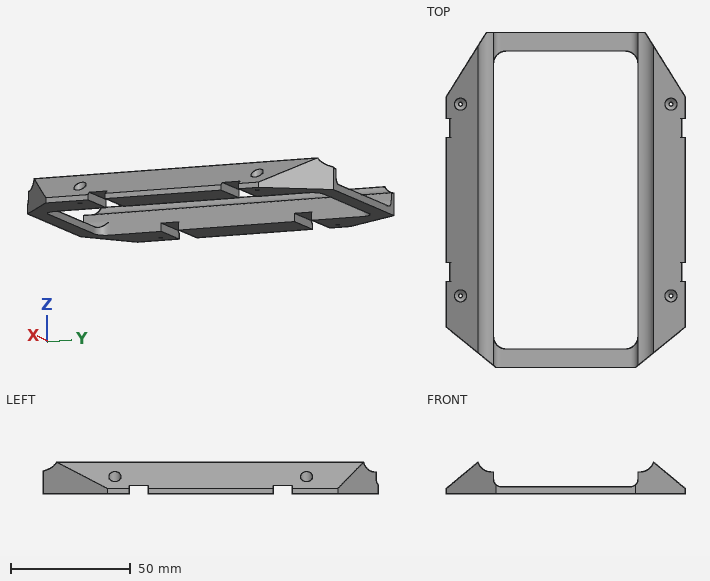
import cadquery as cq
import math

width = 100.0
length = 140.0
height = 13.3
half_width = width / 2
half_length = length / 2

outer_edge_height = 2.2
peak_offset = 13.3
groove_end_offset = 18.9
ledge_offset = 19.9
ledge_height = 9.2
bar_height = 3.1
rail_fillet = 3.0

back_cut_x = 16.8
back_cut_y = 26.9
front_cut_x = 20.9
front_cut_y = 17.0

end_bar_width = 7.8
opening_corner_radius = 5.0

slot_center_y = 30.1
slot_width = 7.8
slot_height = 3.5

hole_offset = 6.0
hole_y = 40.0
hole_diameter = 1.5
head_diameter = 5.0
head_seat_height = 2.5
cone_height = (head_diameter - hole_diameter) / 2


def make_profile():
    """Full-width cross-section extruded along Y."""
    peak_x = half_width - peak_offset
    groove_x = half_width - groove_end_offset
    wall_x = half_width - ledge_offset
    fillet_x = wall_x - rail_fillet

    rise = height - ledge_height
    run = peak_x - groove_x
    groove_radius = (run**2 + rise**2) / (2 * rise)
    half_sweep = math.atan2(rise, run)
    groove_mid_x = groove_x + groove_radius * math.sin(half_sweep)
    groove_mid_z = ledge_height + groove_radius * (1 - math.cos(half_sweep))

    fillet_top_z = bar_height + rail_fillet
    fillet_mid_x = fillet_x + rail_fillet * math.sqrt(0.5)
    fillet_mid_z = fillet_top_z - rail_fillet * math.sqrt(0.5)

    half_profile = (
        cq.Workplane("XZ", origin=(0, half_length, 0))
        .lineTo(half_width, 0)
        .lineTo(half_width, outer_edge_height)
        .lineTo(peak_x, height)
        .threePointArc((groove_mid_x, groove_mid_z), (groove_x, ledge_height))
        .lineTo(wall_x, ledge_height)
        .lineTo(wall_x, fillet_top_z)
        .threePointArc((fillet_mid_x, fillet_mid_z), (fillet_x, bar_height))
        .lineTo(0, bar_height)
        .close()
        .extrude(length)
    )
    return half_profile.union(half_profile.mirror("YZ"))


def make_outline():
    """Octagonal plan shape used to trim the corners."""
    right_side = [
        (half_width - front_cut_x, -half_length),
        (half_width, -half_length + front_cut_y),
        (half_width, half_length - back_cut_y),
        (half_width - back_cut_x, half_length),
    ]
    left_side = [(-x, y) for x, y in reversed(right_side)]
    return cq.Workplane("XY").polyline(right_side + left_side).close().extrude(height)


def make_opening():
    """Rounded window between the rails and the end bars."""
    return (
        cq.Workplane("XY")
        .rect(width - 2 * ledge_offset, length - 2 * end_bar_width)
        .extrude(height)
        .edges("|Z")
        .fillet(opening_corner_radius)
    )


def make_slot(y):
    """Slot running across both rails, open at the bottom."""
    return cq.Workplane("XY").center(0, y).rect(width, slot_width).extrude(slot_height)


def make_screw_hole(x, y):
    """Vertical through hole with a conical seat and a head clearance bore."""
    hole_radius = hole_diameter / 2
    head_radius = head_diameter / 2
    return (
        cq.Workplane("XZ")
        .lineTo(hole_radius, 0)
        .lineTo(hole_radius, head_seat_height - cone_height)
        .lineTo(head_radius, head_seat_height)
        .lineTo(head_radius, height)
        .lineTo(0, height)
        .close()
        .revolve(360, (0, 0, 0), (0, 1, 0))
        .translate((x, y, 0))
    )


result = make_profile().intersect(make_outline()).cut(make_opening())

for y_side in (-1, 1):
    result = result.cut(make_slot(y_side * slot_center_y))
    for x_side in (-1, 1):
        result = result.cut(make_screw_hole(x_side * (half_width - hole_offset), y_side * hole_y))